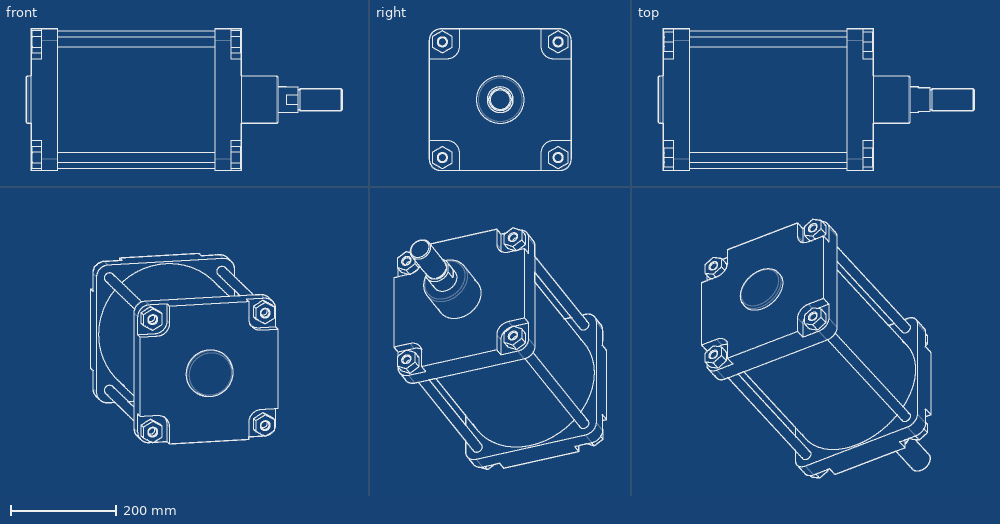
import cadquery as cq
import math

overall_length = 601.0

head_side = 270.0
head_thickness = 50.5
head_corner_radius = 22.0
rear_head_start = 9.5
front_head_end = 409.0
pocket_depth = 20.0
pocket_corner_radius = 24.0
pocket_inner_edge = 77.5

boss_radius = 45.0
boss_fillet = 3.5
front_boss_end = 479.0

barrel_radius = 131.0

tie_rod_radius = 9.5
tie_rod_offset = 110.0
nut_across_flats = 36.5
nut_height = 18.0
nut_bore_radius = 8.0
nut_bore_depth = 16.0
nut_countersink = 2.0

rod_radius = 24.5
flats_start = 494.5
flats_end = 517.0
across_flats = 45.5
neck_length = 3.5
neck_radius = 19.0
thread_radius = 21.0
thread_chamfer = 2.5

rear_head_end = rear_head_start + head_thickness
front_head_start = front_head_end - head_thickness
rear_pocket_floor = rear_head_start + pocket_depth
front_pocket_floor = front_head_end - pocket_depth
neck_end = flats_end + neck_length

tie_rod_places = [(y * tie_rod_offset, z * tie_rod_offset) for y in (-1, 1) for z in (-1, 1)]


def plane_at(x):
    """Workplane across the axis at x, with local x along +Y, local y along +Z and normal +X."""
    return cq.Workplane("YZ", origin=(x, 0, 0))


def cylinder(start, end, radius):
    """Round bar on the cylinder axis."""
    return plane_at(start).circle(radius).extrude(end - start)


def head(start, pocket_start):
    """Square head with nut pockets in its corners and clearance for the tie rods."""
    block = plane_at(start).rect(head_side, head_side).extrude(head_thickness)
    block = block.edges("|X").fillet(head_corner_radius)

    pocket_side = head_side / 2
    pocket_center = pocket_inner_edge + pocket_side / 2
    for y in (-1, 1):
        for z in (-1, 1):
            pocket = (
                plane_at(pocket_start)
                .center(y * pocket_center, z * pocket_center)
                .rect(pocket_side, pocket_side)
                .extrude(pocket_depth)
                .edges("|X")
                .fillet(pocket_corner_radius)
            )
            block = block.cut(pocket)

    rod_holes = plane_at(start).pushPoints(tie_rod_places).circle(tie_rod_radius).extrude(head_thickness)
    return block.cut(rod_holes)


def rear_head():
    """Head with a short boss that ends at X = 0."""
    boss = cylinder(0, rear_head_start, boss_radius).faces("<X").fillet(boss_fillet)
    return head(rear_head_start, rear_head_start).union(boss)


def front_head():
    """Head with the long boss that carries the piston rod."""
    boss = cylinder(front_head_end, front_boss_end, boss_radius).faces(">X").fillet(boss_fillet)
    return head(front_head_start, front_pocket_floor).union(boss)


def nut(y, z, floor, outward):
    """Hexagonal nut on a pocket floor, with a blind countersunk bore in its outer face."""
    corner_diameter = nut_across_flats / math.cos(math.pi / 6)
    outer_face = floor + outward * nut_height
    mouth_radius = nut_bore_radius + nut_countersink
    hexagon = (
        plane_at(floor)
        .center(y, z)
        .transformed(rotate=(0, 0, 90))
        .polygon(6, corner_diameter)
        .extrude(outward * nut_height)
    )
    bore = plane_at(outer_face).center(y, z).circle(nut_bore_radius).extrude(-outward * nut_bore_depth)
    countersink = cq.Workplane(
        cq.Solid.makeCone(
            mouth_radius,
            nut_bore_radius,
            nut_countersink,
            pnt=cq.Vector(outer_face, y, z),
            dir=cq.Vector(-outward, 0, 0),
        )
    )
    return hexagon.cut(bore).cut(countersink)


def tie_rod(y, z):
    """Tie rod between the pocket floors of the two heads, with its two nuts."""
    shank = (
        plane_at(rear_pocket_floor)
        .center(y, z)
        .circle(tie_rod_radius)
        .extrude(front_pocket_floor - rear_pocket_floor)
    )
    rear_nut = nut(y, z, rear_pocket_floor, -1)
    front_nut = nut(y, z, front_pocket_floor, 1)
    return shank.union(rear_nut).union(front_nut)


def piston_rod():
    """Rod with two wrench flats, a neck and a threaded end."""
    shoulder = cylinder(front_boss_end, flats_end, rod_radius)
    flats_length = flats_end - flats_start
    between_flats = plane_at(flats_start).rect(across_flats, 2 * rod_radius).extrude(flats_length)
    outside_flats = cylinder(flats_start, flats_end, rod_radius).cut(between_flats)
    neck = cylinder(flats_end, neck_end, neck_radius)
    thread = cylinder(neck_end, overall_length, thread_radius).faces(">X").chamfer(thread_chamfer)
    return shoulder.cut(outside_flats).union(neck).union(thread)


barrel = cylinder(rear_head_end, front_head_start, barrel_radius)
tie_rods = [tie_rod(y, z) for y, z in tie_rod_places]

result = cq.Compound.makeCompound(
    [
        rear_head().val(),
        front_head().val(),
        barrel.val(),
        piston_rod().val(),
        *[rod.val() for rod in tie_rods],
    ]
)